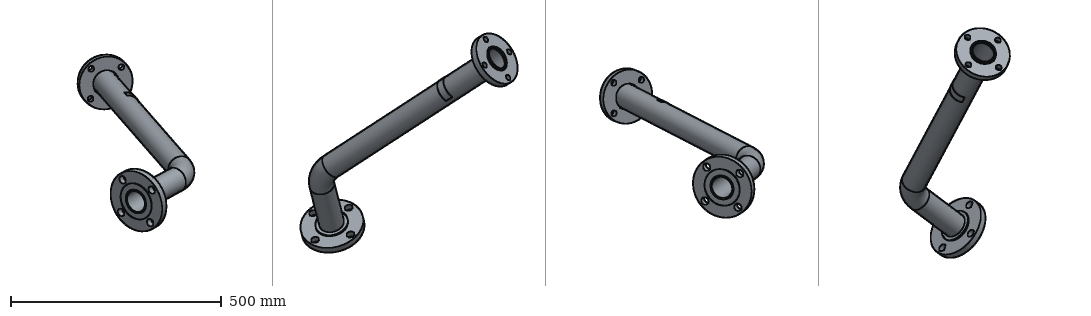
import cadquery as cq
import math

PIPE_RADIUS = 30.0
PIPE_WALL = 4.0
PIPE_BORE_RADIUS = PIPE_RADIUS - PIPE_WALL

LONG_PIPE_ANGLE = -3.1
SHORT_PIPE_ANGLE = -58.3
BEND_ANGLE = LONG_PIPE_ANGLE - SHORT_PIPE_ANGLE
BEND_RADIUS = 76.0
LONG_PIPE_LENGTH = 551.0
SHORT_PIPE_LENGTH = 160.0

BOLT_COUNT = 4

INLET_RADIUS = 65.5
INLET_THICKNESS = 18.0
INLET_BOLT_CIRCLE_RADIUS = 52.5
INLET_BOLT_RADIUS = 7.0
INLET_BOLT_ANGLE = 48.0
INLET_YAW = -7.0
INLET_PITCH = 6.5
INLET_ENGAGEMENT = 8.0
INLET_BORE_RADIUS = 31.5

OUTLET_DIAMETER = 152.0
OUTLET_THICKNESS = 18.0
RAISED_FACE_RADIUS = 45.5
RAISED_FACE_HEIGHT = 1.5
HUB_RADIUS = 39.0
HUB_HEIGHT = 4.0
OUTLET_BOLT_CIRCLE_DIAMETER = 121.0
OUTLET_BOLT_RADIUS = 9.0
OUTLET_BOLT_ANGLE = 42.0

LABEL_THICKNESS = 1.0
LABEL_WIDTH = 21.0
LABEL_START = 382.0


def direction(yaw, pitch=0.0):
    """Unit vector turned by yaw from +X about Z, then raised by pitch."""
    turn = math.radians(yaw)
    rise = math.radians(pitch)
    flat = math.cos(rise)
    return cq.Vector(flat * math.cos(turn), flat * math.sin(turn), math.sin(rise))


def face_plane(origin, normal):
    """Plane across a pipe or flange axis, with its local Y as near to +Z as it can be."""
    return cq.Plane(origin=origin, xDir=cq.Vector(0, 0, 1).cross(normal), normal=normal)


def straight_pipe(start, axis, length):
    return (
        cq.Workplane(face_plane(start, axis))
        .circle(PIPE_RADIUS)
        .circle(PIPE_BORE_RADIUS)
        .extrude(length)
    )


def drill_bolt_holes(flange, plane, circle_radius, hole_radius, first_angle, depth):
    holes = (
        cq.Workplane(plane)
        .polarArray(circle_radius, first_angle, 360, BOLT_COUNT)
        .circle(hole_radius)
        .extrude(-depth)
    )
    return flange.cut(holes)


long_axis = direction(LONG_PIPE_ANGLE)
short_axis = direction(SHORT_PIPE_ANGLE)
elbow_start = cq.Vector(0, 0, 0)
bend_center = direction(LONG_PIPE_ANGLE - 90) * BEND_RADIUS
elbow_end = bend_center + direction(SHORT_PIPE_ANGLE + 90) * BEND_RADIUS
inlet_end = long_axis * -LONG_PIPE_LENGTH
outlet_end = elbow_end + short_axis * SHORT_PIPE_LENGTH


def make_elbow():
    plane = cq.Plane(origin=elbow_start, xDir=bend_center * -1, normal=long_axis)
    return (
        cq.Workplane(plane)
        .circle(PIPE_RADIUS)
        .circle(PIPE_BORE_RADIUS)
        .revolve(BEND_ANGLE, (-BEND_RADIUS, 8, 0), (-BEND_RADIUS, 0, 0))
    )


def make_inlet_flange():
    outward = direction(INLET_YAW, INLET_PITCH) * -1
    middle = inlet_end + long_axis * INLET_ENGAGEMENT
    plane = face_plane(middle + outward * (INLET_THICKNESS / 2), outward)
    flange = (
        cq.Workplane(plane)
        .circle(INLET_RADIUS)
        .circle(INLET_BORE_RADIUS)
        .extrude(-INLET_THICKNESS)
    )
    return drill_bolt_holes(
        flange,
        plane,
        INLET_BOLT_CIRCLE_RADIUS,
        INLET_BOLT_RADIUS,
        INLET_BOLT_ANGLE,
        INLET_THICKNESS,
    )


def make_outlet_flange():
    face = face_plane(outlet_end, short_axis)
    plate_face = face_plane(outlet_end - short_axis * RAISED_FACE_HEIGHT, short_axis)
    depth = RAISED_FACE_HEIGHT + OUTLET_THICKNESS + HUB_HEIGHT
    plate = cq.Workplane(plate_face).circle(OUTLET_DIAMETER / 2).extrude(-OUTLET_THICKNESS)
    plate = drill_bolt_holes(
        plate,
        plate_face,
        OUTLET_BOLT_CIRCLE_DIAMETER / 2,
        OUTLET_BOLT_RADIUS,
        OUTLET_BOLT_ANGLE,
        OUTLET_THICKNESS,
    )
    raised_face = cq.Workplane(face).circle(RAISED_FACE_RADIUS).extrude(-RAISED_FACE_HEIGHT)
    hub = cq.Workplane(face).circle(HUB_RADIUS).extrude(-depth)
    bore = cq.Workplane(face).circle(PIPE_RADIUS).extrude(-depth)
    return plate.union(raised_face).union(hub).cut(bore)


def make_label():
    outer = PIPE_RADIUS + LABEL_THICKNESS
    start = long_axis * -(LABEL_START + LABEL_WIDTH)
    plane = cq.Plane(origin=start, xDir=direction(LONG_PIPE_ANGLE + 90), normal=long_axis)
    return (
        cq.Workplane(plane)
        .moveTo(0, outer)
        .threePointArc((outer, 0), (0, -outer))
        .lineTo(0, -PIPE_RADIUS)
        .threePointArc((PIPE_RADIUS, 0), (0, PIPE_RADIUS))
        .close()
        .extrude(LABEL_WIDTH)
    )


long_pipe = straight_pipe(inlet_end, long_axis, LONG_PIPE_LENGTH)
elbow = make_elbow()
short_pipe = straight_pipe(elbow_end, short_axis, SHORT_PIPE_LENGTH)
inlet_flange = make_inlet_flange()
outlet_flange = make_outlet_flange()
label = make_label()

result = cq.Compound.makeCompound(
    [
        long_pipe.val(),
        elbow.val(),
        short_pipe.val(),
        inlet_flange.val(),
        outlet_flange.val(),
        label.val(),
    ]
)